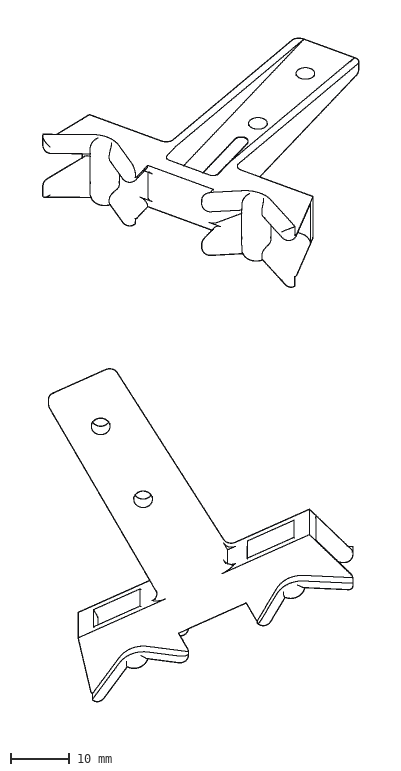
import cadquery as cq
import math

EDGE_RADIUS = 1.5
PLATE_THICKNESS = 1.5
OVERALL_LENGTH = 55.0
OVERALL_WIDTH = 50.0
LIP_TOP = 6.5
BAR_TOP = 4.5
CAVITY_TOP = BAR_TOP - PLATE_THICKNESS

BAR_BACK = 12.0
BAR_BACK_HALF_WIDTH = 22.15
NOTCH_BACK = 5.0
NOTCH_HALF_WIDTH = 6.5
PIN_X = 15.0
PIN_Y = 5.0
PIN_DIAMETER = 5.0
VALLEY_APEX = (-PIN_X, 4.7)
VALLEY_RADIUS = 3.0
LIP_WIDTH = 1.9
OUTER_TIP = (-OVERALL_WIDTH / 2 + EDGE_RADIUS, EDGE_RADIUS)
INNER_TIP = (-NOTCH_HALF_WIDTH - EDGE_RADIUS, EDGE_RADIUS)
STRUT_DEPTH = 1.65
STRUT_INNER_X = 19.2
CORE_FRONT_HALF_WIDTH = NOTCH_HALF_WIDTH
CORE_BACK_HALF_WIDTH = 10.3

ARM_HALF_WIDTH = NOTCH_HALF_WIDTH
ARM_END_THICKNESS = 3.0
TROUGH_FLOOR = -BAR_TOP + ARM_END_THICKNESS
TROUGH_HALF_WIDTH = 5.0
TROUGH_FRONT = 8.1
TROUGH_CORNER_RADIUS = 1.0
HOLE_DIAMETER = 3.2
HOLE_POSITIONS = (46.95, 31.0)
LABEL_FRONT = 11.8
LABEL_BACK = 26.55
LABEL_WIDTH = 2.4
LABEL_DEPTH = 0.1

MARGIN = 5.5


def polar(center, radius, angle):
    return (center[0] + radius * math.cos(angle), center[1] + radius * math.sin(angle))


def tangent_normal(start, center, radius, side):
    """Angle of the radius at which a line from start touches the circle; side is +1 or -1."""
    dx = start[0] - center[0]
    dy = start[1] - center[1]
    angle = math.atan2(dy, dx) + side * math.acos(radius / math.hypot(dx, dy))
    return math.remainder(angle, math.tau)


def prism(sketch, bottom, top):
    return sketch.extrude(top - bottom).translate((0, 0, bottom))


def both_sides(solid):
    return solid.union(solid.mirror("YZ"))


BACK_CORNER = (-BAR_BACK_HALF_WIDTH, BAR_BACK)
SIDE_NORMAL = tangent_normal(BACK_CORNER, OUTER_TIP, EDGE_RADIUS, 1)
OUTER_NORMAL = tangent_normal(VALLEY_APEX, OUTER_TIP, EDGE_RADIUS, -1)
INNER_NORMAL = tangent_normal(VALLEY_APEX, INNER_TIP, EDGE_RADIUS, 1)


def round_valley(solid, radius):
    """Round the vertical edge in the valley between the two straight front edges."""
    nearest = cq.selectors.NearestToPointSelector((*VALLEY_APEX, LIP_TOP))
    return solid.edges("|Z").edges(nearest).fillet(radius)


def jaw_blank(outline):
    """Extend an open outline from its outer end along the front edge to the notch, and extrude it."""
    sketch = (
        outline.lineTo(*VALLEY_APEX)
        .lineTo(*polar(INNER_TIP, EDGE_RADIUS, INNER_NORMAL))
        .threePointArc(polar(INNER_TIP, EDGE_RADIUS, INNER_NORMAL / 2), (-NOTCH_HALF_WIDTH, INNER_TIP[1]))
        .lineTo(-NOTCH_HALF_WIDTH, BAR_BACK)
        .close()
    )
    return round_valley(prism(sketch, CAVITY_TOP, LIP_TOP), VALLEY_RADIUS)


def upper_left_jaw():
    outer_touch = polar(OUTER_TIP, EDGE_RADIUS, OUTER_NORMAL)

    side_touch = polar(OUTER_TIP, EDGE_RADIUS, SIDE_NORMAL)
    tip_middle = polar(OUTER_TIP, EDGE_RADIUS, OUTER_NORMAL - math.pi / 4)
    slab = jaw_blank(
        cq.Workplane().moveTo(*BACK_CORNER).lineTo(*side_touch).threePointArc(tip_middle, outer_touch)
    )
    slab = slab.faces("<Z").edges("not(>Y)").fillet(EDGE_RADIUS)

    overrun = polar(outer_touch, MARGIN, OUTER_NORMAL - math.pi / 2)
    rounded = jaw_blank(cq.Workplane().moveTo(overrun[0], BAR_BACK).lineTo(*overrun))
    rounded = rounded.faces(">Z").edges("not(<X or >Y)").fillet(EDGE_RADIUS)
    return slab.intersect(rounded)


def behind_lip():
    """Space above the plate and behind the lip of the left jaw."""
    inset = EDGE_RADIUS - LIP_WIDTH
    outer_start = polar(polar(OUTER_TIP, inset, OUTER_NORMAL), MARGIN, OUTER_NORMAL - math.pi / 2)
    inner_end = polar(polar(INNER_TIP, inset, INNER_NORMAL), MARGIN, INNER_NORMAL + math.pi / 2)
    bisector = (OUTER_NORMAL + INNER_NORMAL) / 2
    half_turn = (OUTER_NORMAL - INNER_NORMAL) / 2
    apex = polar(VALLEY_APEX, -LIP_WIDTH / math.cos(half_turn), bisector)
    back = BAR_BACK + MARGIN
    sketch = cq.Workplane().polyline(
        [outer_start, apex, inner_end, (inner_end[0], back), (outer_start[0], back)]
    ).close()
    return round_valley(prism(sketch, BAR_TOP, LIP_TOP + MARGIN), VALLEY_RADIUS + LIP_WIDTH)


def pin():
    blank = cq.Workplane().center(-PIN_X, PIN_Y).circle(PIN_DIAMETER / 2)
    return prism(blank, -LIP_TOP, LIP_TOP).edges().fillet(EDGE_RADIUS)


def strut():
    """Outer stretch of the back wall, joining the two plates of the left jaw."""
    front = BAR_BACK - STRUT_DEPTH
    side_slope = math.tan(SIDE_NORMAL - math.pi)
    front_x = -BAR_BACK_HALF_WIDTH + STRUT_DEPTH * side_slope
    sketch = cq.Workplane().polyline(
        [(-STRUT_INNER_X, BAR_BACK), BACK_CORNER, (front_x, front), (-STRUT_INNER_X, front)]
    ).close()
    return prism(sketch, -BAR_TOP, BAR_TOP)


def core():
    """Solid middle of the crossbar between the two plates, with the plates' middle stretch."""
    sketch = cq.Workplane().polyline([
        (-CORE_FRONT_HALF_WIDTH, NOTCH_BACK),
        (CORE_FRONT_HALF_WIDTH, NOTCH_BACK),
        (CORE_BACK_HALF_WIDTH, BAR_BACK),
        (-CORE_BACK_HALF_WIDTH, BAR_BACK),
    ]).close()
    block = prism(sketch, -CAVITY_TOP, CAVITY_TOP).edges("|Z and <Y").fillet(EDGE_RADIUS)
    plate = cq.Workplane().center(0, (NOTCH_BACK + BAR_BACK) / 2).rect(
        2 * (NOTCH_HALF_WIDTH + EDGE_RADIUS), BAR_BACK - NOTCH_BACK
    )
    upper_plate = prism(plate, CAVITY_TOP, BAR_TOP)
    return block.union(upper_plate).union(upper_plate.mirror("XY"))


def arm():
    flare_x = ARM_HALF_WIDTH + EDGE_RADIUS
    flare_y = BAR_BACK + EDGE_RADIUS
    sin45 = math.sqrt(0.5)
    flare_middle = (flare_x - EDGE_RADIUS * sin45, flare_y - EDGE_RADIUS * sin45)
    root = BAR_BACK - 2 * EDGE_RADIUS
    sketch = (
        cq.Workplane().moveTo(-flare_x, root).lineTo(flare_x, root).lineTo(flare_x, BAR_BACK)
        .threePointArc(flare_middle, (ARM_HALF_WIDTH, flare_y))
        .lineTo(ARM_HALF_WIDTH, OVERALL_LENGTH).lineTo(-ARM_HALF_WIDTH, OVERALL_LENGTH)
        .lineTo(-ARM_HALF_WIDTH, flare_y)
        .threePointArc((-flare_middle[0], flare_middle[1]), (-flare_x, BAR_BACK))
        .close()
    )
    body = prism(sketch, -BAR_TOP, BAR_TOP)
    body = body.edges("|Z and >Y").fillet(EDGE_RADIUS)
    body = body.faces("<Z").edges(">Y").fillet(EDGE_RADIUS)

    flare_gap = (
        cq.Workplane().box(MARGIN, MARGIN, 2 * CAVITY_TOP, centered=(False, False, True))
        .translate((-ARM_HALF_WIDTH - MARGIN, root, 0))
    )
    body = body.cut(both_sides(flare_gap))

    above_slope = cq.Workplane("YZ").polyline([
        (BAR_BACK, BAR_TOP),
        (OVERALL_LENGTH, TROUGH_FLOOR),
        (OVERALL_LENGTH, BAR_TOP),
    ]).close().extrude(flare_x, both=True)
    return body.cut(above_slope)


def trough():
    """Channel open at the far end, with a rounded foot and rounded corners at its front wall."""
    length = OVERALL_LENGTH + MARGIN - TROUGH_FRONT
    height = BAR_TOP + MARGIN - TROUGH_FLOOR
    blank = cq.Workplane().box(2 * TROUGH_HALF_WIDTH, length, height, centered=(True, False, False))
    foot = blank.edges("<Y and <Z").fillet(EDGE_RADIUS)
    plan = blank.edges("|Z and <Y").fillet(TROUGH_CORNER_RADIUS)
    return foot.intersect(plan).translate((0, TROUGH_FRONT, TROUGH_FLOOR))


def arm_holes():
    sketch = cq.Workplane().pushPoints([(0, y) for y in HOLE_POSITIONS]).circle(HOLE_DIAMETER / 2)
    return prism(sketch, -BAR_TOP - MARGIN, TROUGH_FLOOR + MARGIN)


def label_recess():
    """Shallow slot-shaped recess in the trough floor."""
    sketch = cq.Workplane().center(0, (LABEL_FRONT + LABEL_BACK) / 2).slot2D(
        LABEL_BACK - LABEL_FRONT, LABEL_WIDTH, 90
    )
    return prism(sketch, TROUGH_FLOOR - LABEL_DEPTH, TROUGH_FLOOR)


jaw = upper_left_jaw()
lip_clearance = behind_lip()
left_side = jaw.union(jaw.mirror("XY")).union(strut()).union(pin())
left_side = left_side.cut(lip_clearance).cut(lip_clearance.mirror("XY"))
result = core().union(both_sides(left_side)).union(arm())
for tool in (trough(), arm_holes(), label_recess()):
    result = result.cut(tool)